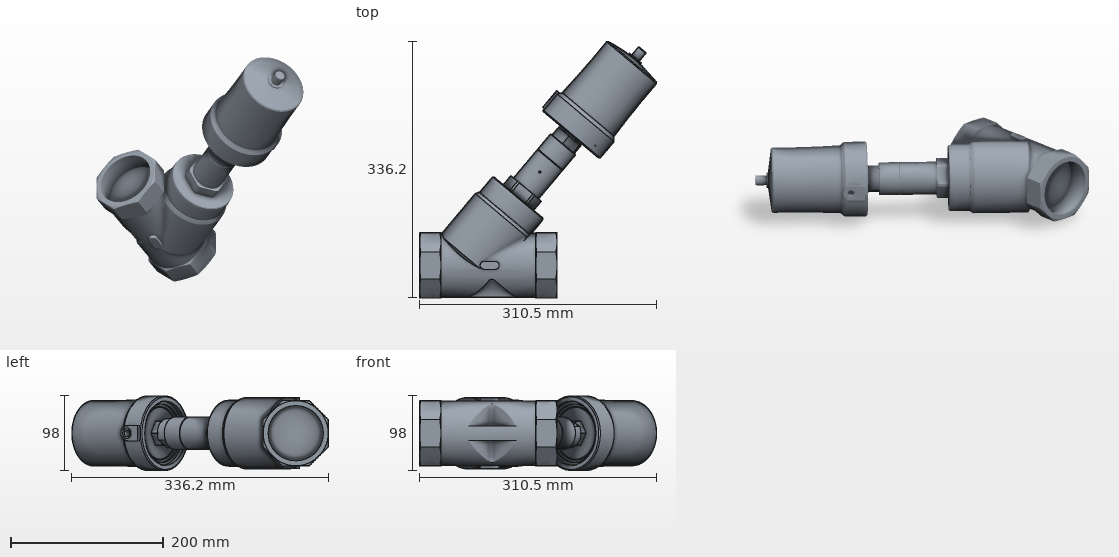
import cadquery as cq
import math

BRANCH_ANGLE = 50
EPS = 0.5

PIPE_LENGTH = 180
PIPE_OFFSET = 35
PIPE_RADIUS = 42.3
OCTAGON_FLATS = 85.7
OCTAGON_LENGTH = 28
OCTAGON_BEVEL = 1.5
OCTAGON_FACE_RADIUS = 42.6
BORE_DIAMETER = 72.23
BORE_DEPTH = 28

BRANCH_START = 12.2
BRANCH_SHOULDER = 83.5
BODY_TOP = 88.3
BONNET_TOP = 116
BONNET_HEX_TOP = 131.5
TUBE_TOP = 180.5
SLEEVE_TOP = 207
NECK_TOP = 220.5
BASE_BOTTOM = 223
BASE_STEP = 252.5
BASE_TOP = 258
COVER_RIM = 346.4
DOME_EDGE = 348.1
DOME_TOP = 352.8
INDICATOR_TOP = 368.65

BRANCH_RADIUS = 46.8
BRANCH_START_RADIUS = 39
BRANCH_ROOT_FILLET = 3
BRANCH_START_CONE = 5
BODY_TOP_RADIUS = 44.3
BONNET_RADIUS = 43.5
BONNET_RIM_RADIUS = 43.2
BONNET_RIM_HEIGHT = 5.5
BONNET_BEVEL = 1
BONNET_HEX_FLATS = 47.2
BONNET_HEX_CORNER_DIAMETER = 52.4
TUBE_RADIUS = 43 / 2
JOINT_GROOVE = 0.5
VENT_DIAMETER = 3
VENT_DEPTH = 5
VENT_HEIGHT = 159.5
NECK_RADIUS = 19.1
NECK_FLATS = 32
NECK_FLATS_ANGLE = 30
GLAND_HEX_FLATS = 32
GLAND_HEX_CORNER_DIAMETER = 36.4
GLAND_HEX_BEVEL = 1
BASE_RADIUS = 98 / 2
BASE_FILLET = 1.5
RECESS_RADIUS = 42
RECESS_DEPTH = 6
INNER_RECESS_RADIUS = 38.4
INNER_RECESS_DEPTH = 9
RECESS_GROOVE_RADIUS = 35
RECESS_GROOVE_WIDTH = 1
RECESS_GROOVE_DEPTH = 1
COVER_FOOT_RADIUS = 44.5
COVER_WAIST_RADIUS = 42.9
COVER_RIM_RADIUS = 42.8
DOME_EDGE_RADIUS = 41.5
FLANGE_DIAMETER = 20
FLANGE_TOP = 354.3
INDICATOR_DIAMETER = 13
INDICATOR_TIP_DIAMETER = 12
INDICATOR_BEVEL = 1

PORT_HEIGHT = 245.5
PORT_PAD_BOTTOM = 227
PORT_PAD_WIDTH = 20
PORT_PAD_REACH = 51.7
PORT_RECESS_DIAMETER = 14
PORT_RECESS_DEPTH = 0.5
PORT_HOLE_DIAMETER = 8.7
PORT_HOLE_DEPTH = 12

PAD_LENGTH = 25
PAD_WIDTH = 10.3
PAD_X = 36.8
PAD_TOP = 46.5

RIB_THICKNESS = 19
POCKET_APEX = (38.8, -16)
POCKET_RIGHT_BEND = (62.3, -35.6)
POCKET_LEFT_MIDDLE = (23.4, -32.8)
POCKET_MOUTH_Y = -42
POCKET_MOUTH_LEFT = 8.2
POCKET_MOUTH_RIGHT = 73
POCKET_CORNER_RADIUS = 5
POCKET_RIM_ROUND = 1

BRANCH_PLANE = cq.Plane(
    origin=(0, 0, 0),
    xDir=(-math.sin(math.radians(BRANCH_ANGLE)), math.cos(math.radians(BRANCH_ANGLE)), 0),
    normal=(math.cos(math.radians(BRANCH_ANGLE)), math.sin(math.radians(BRANCH_ANGLE)), 0),
)


def on_branch(shape):
    """Move a shape built about the Z axis onto the branch axis; its Y becomes world Z."""
    return cq.Workplane(shape.val().moved(BRANCH_PLANE.location))


def turned(points):
    """Revolve (radius, height) points about Z, closing the outline along the axis."""
    outline = [(0, points[0][1]), *points, (0, points[-1][1])]
    return cq.Workplane("XZ").polyline(outline).close().revolve(360, (0, 0), (0, 1))


def polygon_bar(sides, flats, bottom, top):
    """Regular prism about Z with the given width across flats and one corner on X."""
    corner_diameter = flats / math.cos(math.pi / sides)
    return cq.Workplane("XY").workplane(offset=bottom).polygon(sides, corner_diameter).extrude(top - bottom)


def cylinder(radius, bottom, top):
    return cq.Workplane("XY").workplane(offset=bottom).circle(radius).extrude(top - bottom)


def octagon_end():
    """Octagonal pipe end about Z, from 0 to OCTAGON_LENGTH, corners bevelled at both ends."""
    corner = OCTAGON_FLATS / 2 / math.cos(math.pi / 8)
    octagon = polygon_bar(8, OCTAGON_FLATS, 0, OCTAGON_LENGTH).rotate((0, 0, 0), (0, 0, 1), 180 / 8)
    envelope = turned([
        (OCTAGON_FACE_RADIUS, 0),
        (corner, OCTAGON_BEVEL),
        (corner, OCTAGON_LENGTH - OCTAGON_BEVEL),
        (OCTAGON_FACE_RADIUS, OCTAGON_LENGTH),
    ])
    return octagon.intersect(envelope)


def pipe():
    half = PIPE_LENGTH / 2
    run = cylinder(PIPE_RADIUS, EPS - half, half - EPS)
    end = octagon_end().translate((0, 0, -half))
    run = run.union(end).union(end.mirror("XY"))
    return run.rotate((0, 0, 0), (0, 1, 0), 90).translate((PIPE_OFFSET, 0, 0))


def branch():
    return on_branch(turned([
        (BRANCH_START_RADIUS, BRANCH_START - BRANCH_START_CONE),
        (BRANCH_RADIUS, BRANCH_START),
        (BRANCH_RADIUS, BRANCH_SHOULDER),
        (BODY_TOP_RADIUS, BODY_TOP),
    ]))


def arrow_pads():
    return (
        cq.Workplane("XY").workplane(offset=-PAD_TOP).center(PAD_X, 0)
        .slot2D(PAD_LENGTH, PAD_WIDTH).extrude(2 * PAD_TOP)
    )


def pocket(side):
    """Flared V-shaped pocket on one Z side of the central rib."""
    vee = (
        cq.Workplane("XY").moveTo(*POCKET_APEX)
        .lineTo(*POCKET_RIGHT_BEND)
        .tangentArcPoint((POCKET_MOUTH_RIGHT, POCKET_MOUTH_Y), relative=False)
        .lineTo(POCKET_MOUTH_RIGHT, -PIPE_RADIUS - EPS)
        .lineTo(POCKET_MOUTH_LEFT, -PIPE_RADIUS - EPS)
        .lineTo(POCKET_MOUTH_LEFT, POCKET_MOUTH_Y)
        .threePointArc(POCKET_LEFT_MIDDLE, POCKET_APEX)
        .close()
        .extrude(PIPE_RADIUS)
        .edges("|Z and >Y").fillet(POCKET_CORNER_RADIUS)
        .translate((0, 0, RIB_THICKNESS / 2))
    )
    return vee if side > 0 else vee.mirror("XY")


def pipe_bore(side):
    end_x = PIPE_OFFSET + side * PIPE_LENGTH / 2
    return cq.Workplane("YZ").workplane(offset=end_x).circle(BORE_DIAMETER / 2).extrude(-side * BORE_DEPTH)


def housing():
    """Pipe and branch, with a fillet where the branch leans over the pipe."""
    blank = pipe().union(branch())
    lean_box = cq.selectors.BoxSelector(
        (BRANCH_RADIUS, 0, -PIPE_RADIUS), (2 * BRANCH_RADIUS, PIPE_RADIUS / 2, PIPE_RADIUS)
    )
    return blank.edges("%BSPLINE").edges(lean_box).fillet(BRANCH_ROOT_FILLET)


valve_body = housing().union(arrow_pads())
for side in (-1, 1):
    valve_body = valve_body.cut(pocket(side)).cut(pipe_bore(side))
pocket_rims = valve_body.edges("%BSPLINE or %ELLIPSE").edges(cq.selectors.BoxSelector(
    (POCKET_MOUTH_LEFT, POCKET_MOUTH_Y, -PIPE_RADIUS), (POCKET_MOUTH_RIGHT, POCKET_APEX[1], PIPE_RADIUS)
))
valve_body = pocket_rims.fillet(POCKET_RIM_ROUND)


def bonnet_hex():
    prism = polygon_bar(6, BONNET_HEX_FLATS, BONNET_TOP - EPS, BONNET_HEX_TOP)
    return prism.intersect(cylinder(BONNET_HEX_CORNER_DIAMETER / 2, BONNET_TOP - EPS, BONNET_HEX_TOP))


def vent_hole():
    return (
        cq.Workplane("XZ", origin=(0, TUBE_RADIUS, 0)).center(0, VENT_HEIGHT)
        .circle(VENT_DIAMETER / 2).extrude(VENT_DEPTH)
    )


bonnet_profile = [
    (BONNET_RADIUS, BODY_TOP),
    (BONNET_RADIUS, BONNET_TOP - BONNET_RIM_HEIGHT),
    (BONNET_RIM_RADIUS, BONNET_TOP - BONNET_BEVEL),
    (BONNET_RIM_RADIUS - BONNET_BEVEL, BONNET_TOP),
    (TUBE_RADIUS, BONNET_TOP),
    (TUBE_RADIUS, TUBE_TOP - JOINT_GROOVE),
    (TUBE_RADIUS - JOINT_GROOVE, TUBE_TOP),
]
bonnet = on_branch(turned(bonnet_profile).union(bonnet_hex()).cut(vent_hole())).cut(valve_body)

sleeve = on_branch(turned([
    (TUBE_RADIUS - JOINT_GROOVE, TUBE_TOP),
    (TUBE_RADIUS, TUBE_TOP + JOINT_GROOVE),
    (TUBE_RADIUS, SLEEVE_TOP - JOINT_GROOVE),
    (TUBE_RADIUS - JOINT_GROOVE, SLEEVE_TOP),
]))

GLAND_TOP = BASE_BOTTOM + INNER_RECESS_DEPTH


def gland_neck():
    flats = (
        cq.Workplane("XY").workplane(offset=SLEEVE_TOP)
        .rect(2 * NECK_RADIUS, NECK_FLATS).extrude(NECK_TOP - SLEEVE_TOP)
        .rotate((0, 0, 0), (0, 0, 1), NECK_FLATS_ANGLE)
    )
    return cylinder(NECK_RADIUS, SLEEVE_TOP, NECK_TOP).intersect(flats)


def gland_hex():
    corner = GLAND_HEX_CORNER_DIAMETER / 2
    envelope = turned([
        (corner - GLAND_HEX_BEVEL, NECK_TOP - EPS),
        (corner, NECK_TOP + GLAND_HEX_BEVEL),
        (corner, GLAND_TOP),
    ])
    return polygon_bar(6, GLAND_HEX_FLATS, NECK_TOP - EPS, GLAND_TOP).intersect(envelope)


gland = on_branch(gland_neck().union(gland_hex()))


def port_pad():
    half = PORT_PAD_WIDTH / 2
    return (
        cq.Workplane("YZ").moveTo(-half, PORT_PAD_BOTTOM).lineTo(half, PORT_PAD_BOTTOM)
        .lineTo(half, PORT_HEIGHT).threePointArc((0, PORT_HEIGHT + half), (-half, PORT_HEIGHT)).close()
        .extrude(PORT_PAD_REACH)
    )


def port_hole(diameter, depth):
    return (
        cq.Workplane("YZ", origin=(PORT_PAD_REACH, 0, PORT_HEIGHT))
        .circle(diameter / 2).extrude(-depth)
    )


def recess_groove():
    top = GLAND_TOP + RECESS_GROOVE_DEPTH
    ring = cylinder(RECESS_GROOVE_RADIUS, GLAND_TOP, top)
    return ring.cut(cylinder(RECESS_GROOVE_RADIUS - RECESS_GROOVE_WIDTH, GLAND_TOP, top))


base_local = turned([
    (BASE_RADIUS - BASE_FILLET, BASE_BOTTOM),
    (BASE_RADIUS, BASE_BOTTOM + BASE_FILLET),
    (BASE_RADIUS, BASE_STEP),
    (COVER_FOOT_RADIUS, BASE_TOP),
])
base_local = (
    base_local.union(port_pad())
    .cut(port_hole(PORT_RECESS_DIAMETER, PORT_RECESS_DEPTH))
    .cut(port_hole(PORT_HOLE_DIAMETER, PORT_HOLE_DEPTH))
    .cut(cylinder(RECESS_RADIUS, BASE_BOTTOM, BASE_BOTTOM + RECESS_DEPTH))
    .cut(cylinder(INNER_RECESS_RADIUS, BASE_BOTTOM, GLAND_TOP))
    .cut(recess_groove())
)
actuator_base = on_branch(base_local)


indicator_local = turned([
    (FLANGE_DIAMETER / 2, DOME_EDGE),
    (FLANGE_DIAMETER / 2, FLANGE_TOP),
    (INDICATOR_DIAMETER / 2, FLANGE_TOP),
    (INDICATOR_DIAMETER / 2, INDICATOR_TOP - INDICATOR_BEVEL),
    (INDICATOR_TIP_DIAMETER / 2, INDICATOR_TOP),
])
indicator = on_branch(indicator_local)

dome_rise = DOME_TOP - DOME_EDGE
dome_radius = (DOME_EDGE_RADIUS**2 + dome_rise**2) / (2 * dome_rise)
dome_mid_radius = DOME_EDGE_RADIUS / 2
dome_mid_height = DOME_TOP - dome_radius + math.sqrt(dome_radius**2 - dome_mid_radius**2)
cover_local = (
    cq.Workplane("XZ").moveTo(0, BASE_TOP)
    .lineTo(COVER_FOOT_RADIUS, BASE_TOP)
    .threePointArc((COVER_WAIST_RADIUS, (BASE_TOP + COVER_RIM) / 2), (COVER_RIM_RADIUS, COVER_RIM))
    .lineTo(DOME_EDGE_RADIUS, DOME_EDGE)
    .threePointArc((dome_mid_radius, dome_mid_height), (0, DOME_TOP))
    .close().revolve(360, (0, 0), (0, 1))
)
cover = on_branch(cover_local.cut(indicator_local))

result = cq.Compound.makeCompound([
    valve_body.val(),
    bonnet.val(),
    sleeve.val(),
    gland.val(),
    actuator_base.val(),
    cover.val(),
    indicator.val(),
])